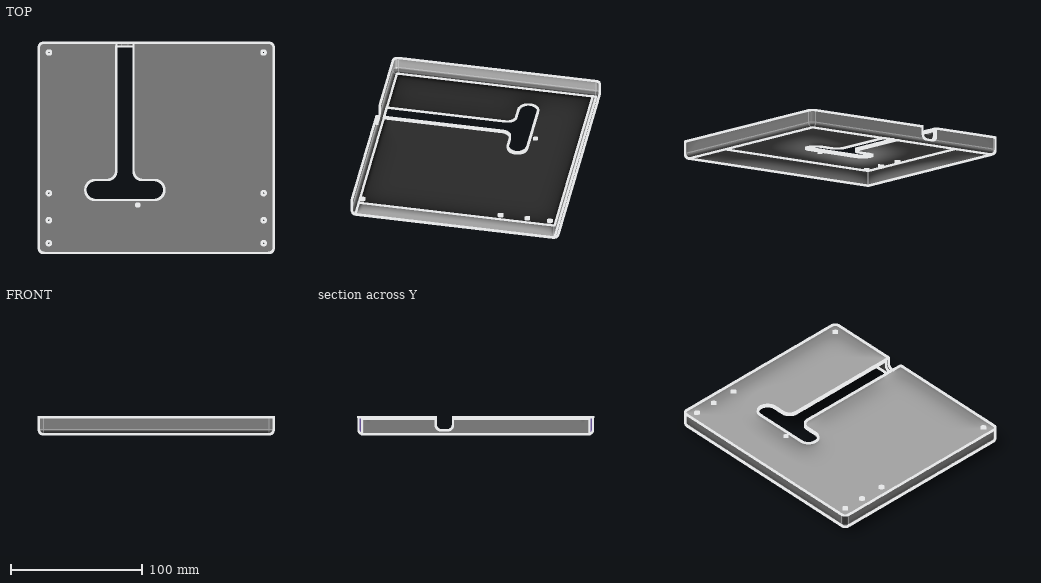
import cadquery as cq
import math

length_x = 179.0
width_y = 160.17
height = 13.05
wall = 3.0
plate_thickness = 1.5
edge_radius = 3.78

slot_center_x = -23.9
slot_width = 13.0
crossbar_length = 60.0
crossbar_width = 15.0
crossbar_center_y = -32.1
slot_root_radius = 7.0
root_search = 1.0
notch_depth = 9.8
notch_radius = 4.0

screw_hole_diameter = 2.95
screw_hole_inset_x = 7.75
screw_hole_inset_y = 7.5
middle_hole_ys = (-34.5, -55.1)
pilot_hole_diameter = 2.2
pilot_hole_x = -14.1
pilot_hole_y = -43.5

kernel_margin = 0.001

half_x = length_x / 2
half_y = width_y / 2
plate_bottom = height - plate_thickness


def make_shell():
    """Rounded box with its lower outer edge rounded, hollowed from below."""
    overrun = edge_radius - math.sqrt(edge_radius**2 - (edge_radius - wall) ** 2)
    body = (
        cq.Workplane("XY", origin=(0, 0, -overrun))
        .rect(length_x, width_y)
        .extrude(height + overrun)
        .edges("|Z")
        .fillet(edge_radius)
        .faces("<Z")
        .edges()
        .fillet(edge_radius - kernel_margin)
    )
    cavity = (
        cq.Workplane("XY", origin=(0, 0, -overrun))
        .rect(length_x - 2 * wall, width_y - 2 * wall)
        .extrude(plate_bottom + overrun)
        .edges("|Z")
        .fillet(edge_radius - wall)
    )
    return body.cut(cavity)


def make_t_opening():
    """T-shaped cutter through the plate, stopping at the inside of the +Y wall."""
    slot_end_y = half_y - wall
    slot_length = slot_end_y - crossbar_center_y
    crossbar = (
        cq.Workplane("XY")
        .center(slot_center_x, crossbar_center_y)
        .slot2D(crossbar_length, crossbar_width)
        .extrude(height)
    )
    slot = (
        cq.Workplane("XY")
        .center(slot_center_x, crossbar_center_y + slot_length / 2)
        .rect(slot_width, slot_length)
        .extrude(height)
    )
    root_y = crossbar_center_y + crossbar_width / 2
    opening = crossbar.union(slot)
    root_edges = opening.edges("|Z").edges(
        cq.selectors.BoxSelector(
            (slot_center_x - slot_width, root_y - root_search, -root_search),
            (slot_center_x + slot_width, root_y + root_search, height + root_search),
        )
    )
    return root_edges.fillet(slot_root_radius)


def make_wall_notch():
    """Notch with a round-cornered floor through the +Y wall."""
    return (
        cq.Workplane("XY", origin=(slot_center_x, half_y - wall / 2, height - notch_depth))
        .rect(slot_width, wall)
        .extrude(notch_depth)
        .edges("|Y and <Z")
        .fillet(notch_radius)
    )


def make_holes():
    """Screw holes along both X sides and one pilot hole below the crossbar."""
    hole_x = half_x - screw_hole_inset_x
    corner_y = half_y - screw_hole_inset_y
    rows = (corner_y, *middle_hole_ys, -corner_y)
    points = [(side * hole_x, y) for side in (-1, 1) for y in rows]
    screws = cq.Workplane("XY").pushPoints(points).circle(screw_hole_diameter / 2).extrude(height)
    pilot = (
        cq.Workplane("XY")
        .center(pilot_hole_x, pilot_hole_y)
        .circle(pilot_hole_diameter / 2)
        .extrude(height)
    )
    return screws.union(pilot)


result = make_shell().cut(make_t_opening()).cut(make_wall_notch()).cut(make_holes())